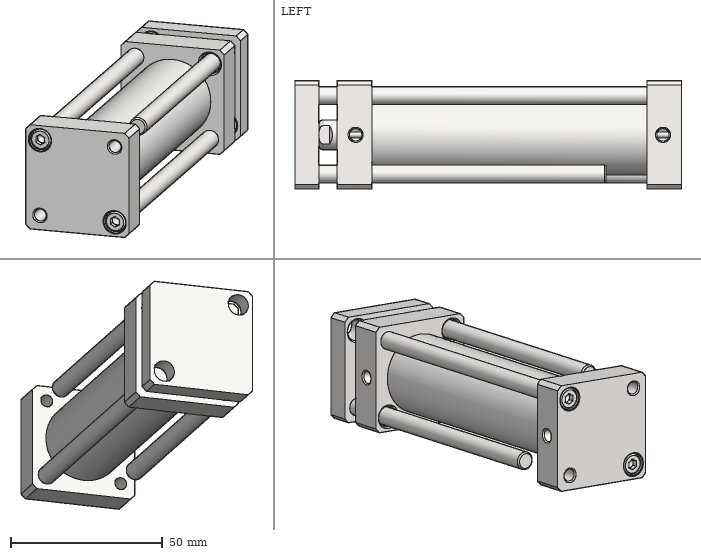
import cadquery as cq
import math


plate_side = 36.0
corner_circle_diameter = 48.8
cap_length = 11.5
head_length = 11.5
tool_plate_length = 8.0
total_length = 128.0
head_gap = 6.0

tool_plate_start = total_length - tool_plate_length
head_end = tool_plate_start - head_gap
head_start = head_end - head_length

rod_spacing = 26.0
corner_offset = rod_spacing / 2
tie_places = [(-corner_offset, corner_offset), (corner_offset, -corner_offset)]
guide_places = [(corner_offset, corner_offset), (-corner_offset, -corner_offset)]

barrel_diameter = 26.6
piston_rod_diameter = 10.0
flat_width = 8.0
flat_length = 3.5
rod_end_radius = 1.4

guide_diameter = 6.0
guide_start = 25.0
guide_chamfer = 0.5

tie_diameter = 6.0
tie_head_diameter = 7.0
tie_head_length = 4.0
tie_head_recess = 0.4
tie_head_chamfer = 0.5
socket_width = 3.1
socket_depth = 1.9
drill_point_angle = 118.0

seat_diameter = 7.5
wide_mouth_diameter = 8.0
relief_diameter = 7.0
relief_depth = 1.9
access_diameter = 7.0

thread_diameter = 4.1
thread_mouth_diameter = 5.0
port_inset = 5.4
port_depth = 6.4
port_pin_diameter = 2.0


def cylinder_y(diameter, start, end, place=(0, 0)):
    """Cylinder along +Y between two Y positions at an (X, Z) place."""
    x, z = place
    return cq.Workplane(
        cq.Solid.makeCylinder(diameter / 2, end - start, cq.Vector(x, start, z), cq.Vector(0, 1, 0))
    )


def point_length(diameter):
    """Length of the conical point that a drill leaves."""
    return diameter / 2 / math.tan(math.radians(drill_point_angle / 2))


def drill(diameter, mouth_diameter, depth, origin, direction):
    """Cutter with a 45 degree mouth chamfer, starting at origin and going along direction."""
    mouth_depth = (mouth_diameter - diameter) / 2
    hole = cq.Solid.makeCylinder(diameter / 2, depth, origin, direction)
    mouth = cq.Solid.makeCone(mouth_diameter / 2, diameter / 2, mouth_depth, origin, direction)
    return cq.Workplane(hole).union(cq.Workplane(mouth))


def drill_y(diameter, mouth_diameter, depth, start, place):
    """Chamfered hole cutter along +Y from Y = start at an (X, Z) place."""
    x, z = place
    return drill(diameter, mouth_diameter, depth, cq.Vector(x, start, z), cq.Vector(0, 1, 0))


def square_plate(start, length):
    """Square plate from Y = start towards +Y, with its corners turned to a circle about the axis."""
    return (
        cq.Workplane("XY")
        .box(plate_side, length, plate_side)
        .translate((0, start + length / 2, 0))
        .intersect(cylinder_y(corner_circle_diameter, start, start + length))
    )


def side_port(y):
    """Threaded port in the -X side, with a drill point and a thin pin left standing across it."""
    direction = cq.Vector(1, 0, 0)
    mouth = cq.Vector(-plate_side / 2, y, 0)
    bottom = mouth + direction * port_depth
    port = drill(thread_diameter, thread_mouth_diameter, port_depth, mouth, direction)
    point = cq.Solid.makeCone(thread_diameter / 2, 0, point_length(thread_diameter), bottom, direction)
    pin = cylinder_y(port_pin_diameter, y - thread_diameter, y + thread_diameter)
    pin = pin.translate((bottom.x - port_pin_diameter / 2, 0, 0))
    return port.union(cq.Workplane(point)).cut(pin)


def make_cap():
    cap = square_plate(0, cap_length).cut(side_port(cap_length - port_inset))
    seat_depth = tie_head_recess + tie_head_length
    for place in tie_places:
        cap = cap.cut(drill_y(seat_diameter, wide_mouth_diameter, seat_depth, 0, place))
        cap = cap.cut(cylinder_y(tie_diameter, 0, cap_length, place))
    for place in guide_places:
        cap = cap.cut(drill_y(thread_diameter, thread_mouth_diameter, cap_length, 0, place))
    return cap


def make_head():
    head = square_plate(head_start, head_length)
    head = head.cut(side_port(head_start + port_inset))
    head = head.cut(cylinder_y(piston_rod_diameter, head_start, head_end))
    for place in guide_places:
        head = head.cut(drill_y(relief_diameter, wide_mouth_diameter, relief_depth, head_start, place))
        head = head.cut(cylinder_y(guide_diameter, head_start, head_end, place))
    return head


def make_tool_plate():
    plate = square_plate(tool_plate_start, tool_plate_length)
    for place in tie_places:
        plate = plate.cut(
            drill_y(access_diameter, wide_mouth_diameter, tool_plate_length, tool_plate_start, place)
        )
    return plate


def make_barrel():
    return cylinder_y(barrel_diameter, cap_length, head_start)


def make_piston_rod():
    """Rod with a rounded end and two wrench flats that run out at 45 degrees."""
    rod = cylinder_y(piston_rod_diameter, head_start, tool_plate_start)
    rod = rod.faces(">Y").edges().fillet(rod_end_radius)
    flat_start = tool_plate_start - flat_length
    runout = (piston_rod_diameter - flat_width) / 2
    for side in (-1, 1):
        flat = (
            cq.Workplane("XY")
            .polyline([
                (side * flat_width / 2, tool_plate_start),
                (side * flat_width / 2, flat_start),
                (side * piston_rod_diameter / 2, flat_start - runout),
                (side * piston_rod_diameter / 2, tool_plate_start),
            ])
            .close()
            .extrude(piston_rod_diameter / 2, both=True)
        )
        rod = rod.cut(flat)
    return rod


def make_guide_rod(place):
    rod = cylinder_y(guide_diameter, guide_start, tool_plate_start, place)
    return rod.faces("<Y").chamfer(guide_chamfer)


def make_tie_rod(place):
    """Rod from the head to the cap, ending in a round head with a hexagon socket."""
    x, z = place
    seat = tie_head_recess + tie_head_length
    socket_bottom = tie_head_recess + socket_depth
    head = cylinder_y(tie_head_diameter, tie_head_recess, seat, place)
    head = head.faces("<Y").chamfer(tie_head_chamfer)
    socket = (
        cq.Workplane("XZ", origin=(x, tie_head_recess, z))
        .transformed(rotate=(0, 0, 90))
        .polygon(6, socket_width / math.cos(math.pi / 6))
        .extrude(-socket_depth)
    )
    point = cq.Solid.makeCone(
        socket_width / 2, 0, point_length(socket_width), cq.Vector(x, socket_bottom, z), cq.Vector(0, 1, 0)
    )
    shank = cylinder_y(tie_diameter, seat, head_start, place)
    return shank.union(head).cut(socket).cut(cq.Workplane(point))


cap = make_cap()
head = make_head()
tool_plate = make_tool_plate()
barrel = make_barrel()
piston_rod = make_piston_rod()
guide_rods = [make_guide_rod(place) for place in guide_places]
tie_rods = [make_tie_rod(place) for place in tie_places]

result = cq.Compound.makeCompound([
    cap.val(),
    head.val(),
    tool_plate.val(),
    barrel.val(),
    piston_rod.val(),
    *[rod.val() for rod in guide_rods],
    *[rod.val() for rod in tie_rods],
])